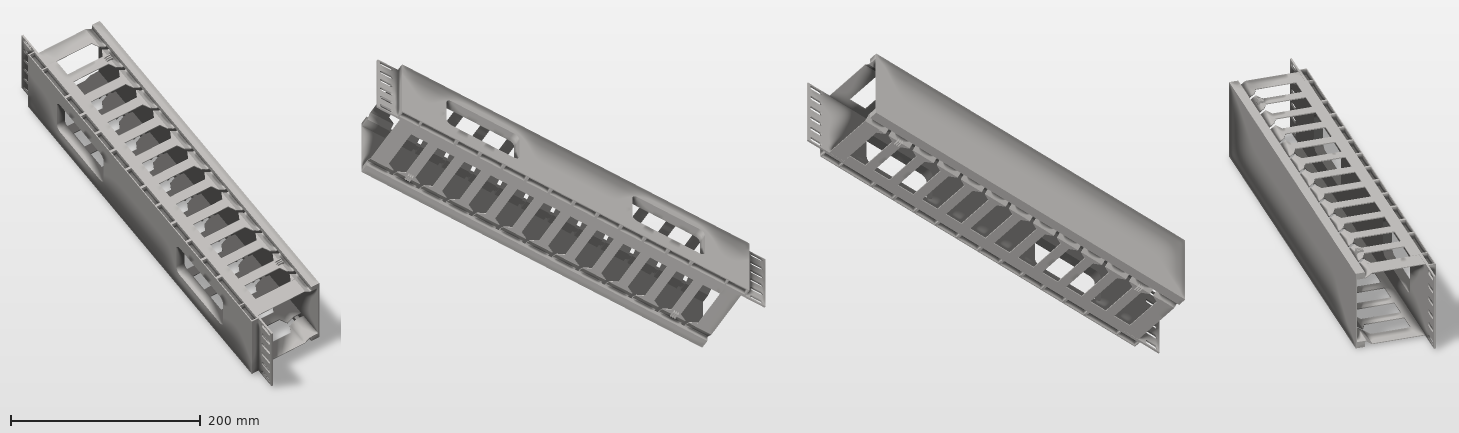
import cadquery as cq


rack_width = 482.6
depth = 87.6
height_over_grips = 93.06
panel_height = 88.0
duct_length = 424.0

hat_length = 432.0
hat_depth = 8.3
plate_thickness = 2.0
plate_rear = hat_depth + plate_thickness

window_length = 90.5
window_height = 45.0
window_radius = 7.0
window_offset = 115.5

mount_slot_length = 16.0
mount_slot_height = 5.2
mount_slot_offset = 230.2
mount_slot_pitch = 15.75
mount_slot_rows = 6

pocket_depth = 7.0
pocket_front = 1.0
pocket_rear = 7.3
hat_end_wall = 1.5
hat_rib_width = 2.9
hat_rib_pitch = 29.2
hat_rib_count = 11
outer_rib_width = 1.5
outer_rib_offset = 190.5

wall_thickness = 1.2
wall_top = panel_height / 2
bend_start = 69.2
bend_end = 75.7
bend_drop = 4.7
flat_top = wall_top - bend_drop
bend_slope = bend_drop / (bend_end - bend_start)

opening_count = 12
opening_pitch = 33.0
opening_width = 21.6
opening_front = 20.0
shoulder_start = 64.4
shoulder_end = 68.7
neck_width = 4.6

end_finger_step = 0.25
end_finger_inner = (opening_count - 1) / 2 * opening_pitch + opening_width / 2

grip_offset = (opening_count - 2) / 2 * opening_pitch
grip_top_front = 65.2
grip_top_rear = 71.2
grip_front_foot = grip_top_front - 1.7
grip_rear_foot = grip_top_rear + 1.0
grip_rib_count = 3
grip_rib_width = 1.2
grip_rib_pitch = 2.4

cover_thickness = 1.5
cover_top = 45.5
flange_thickness = 1.0
lip_front = 77.5
lip_rear = 81.8
cover_inner = depth - cover_thickness
flange_bottom = cover_top - flange_thickness


def box(x_range, y_range, z_range):
    """Box spanning the given ranges along X, Y and Z."""
    sizes = [end - start for start, end in (x_range, y_range, z_range)]
    corner = (x_range[0], y_range[0], z_range[0])
    return cq.Workplane("XY").box(*sizes, centered=False).translate(corner)


def centred_box(x_centre, x_size, y_range, z_range):
    """Box centred at x_centre along X."""
    return box((x_centre - x_size / 2, x_centre + x_size / 2), y_range, z_range)


def both_edges(shape):
    """The shape together with its mirror image below the XY plane."""
    return shape.union(shape.mirror("XY"))


def spread(count, pitch):
    """Evenly spaced positions centred on zero."""
    return [(i - (count - 1) / 2) * pitch for i in range(count)]


def make_panel():
    half_height = panel_height / 2
    z_range = (-half_height, half_height)
    plate = centred_box(0, rack_width, (hat_depth, plate_rear), z_range)
    hat = centred_box(0, hat_length, (0, hat_depth), z_range)
    return plate.union(hat).cut(both_edges(make_hat_pockets()))


def make_hat_pockets():
    """Row of pockets along the top edge: one long trough with the ribs left standing in it."""
    z_range = (panel_height / 2 - pocket_depth, panel_height / 2)
    y_range = (pocket_front, pocket_rear)
    pockets = centred_box(0, hat_length - 2 * hat_end_wall, y_range, z_range)
    for x in spread(hat_rib_count, hat_rib_pitch):
        pockets = pockets.cut(centred_box(x, hat_rib_width, y_range, z_range))
    for x in (-outer_rib_offset, outer_rib_offset):
        pockets = pockets.cut(centred_box(x, outer_rib_width, y_range, z_range))
    return pockets


def make_windows():
    return (
        cq.Workplane("XZ")
        .pushPoints([(-window_offset, 0), (window_offset, 0)])
        .rect(window_length, window_height)
        .extrude(-plate_rear)
        .edges("|Y")
        .fillet(window_radius)
    )


def make_mount_slots():
    centres = [
        (x, z)
        for x in (-mount_slot_offset, mount_slot_offset)
        for z in spread(mount_slot_rows, mount_slot_pitch)
    ]
    return (
        cq.Workplane("XZ")
        .pushPoints(centres)
        .slot2D(mount_slot_length, mount_slot_height)
        .extrude(-plate_rear)
    )


def make_finger_wall():
    """Upper wall: flat, bent down towards the rear, then hooked up behind the cover lip."""
    profile = [
        (hat_depth, wall_top),
        (bend_start, wall_top),
        (bend_end, flat_top),
        (lip_rear, flat_top),
        (lip_rear, flange_bottom),
        (cover_inner, flange_bottom),
        (cover_inner, flat_top - wall_thickness),
        (bend_end, flat_top - wall_thickness),
        (bend_start, wall_top - wall_thickness),
        (hat_depth, wall_top - wall_thickness),
    ]
    wall = cq.Workplane("YZ").polyline(profile).close().extrude(duct_length / 2, both=True)
    wall = wall.cut(make_openings())
    step_z = (wall_top - end_finger_step, wall_top)
    step_y = (plate_rear, bend_end)
    wall = wall.cut(box((end_finger_inner, duct_length / 2), step_y, step_z))
    return wall.cut(box((-duct_length / 2, -end_finger_inner), step_y, step_z))


def make_openings():
    """Wide openings that narrow through sloped shoulders to a neck open at the rear."""
    half_width = opening_width / 2
    half_neck = neck_width / 2
    outline = [
        (-half_width, opening_front),
        (half_width, opening_front),
        (half_width, shoulder_start),
        (half_neck, shoulder_end),
        (half_neck, depth),
        (-half_neck, depth),
        (-half_neck, shoulder_end),
        (-half_width, shoulder_start),
    ]
    opening = cq.Workplane("XY").polyline(outline).close().extrude(panel_height)
    openings = cq.Workplane("XY")
    for x in spread(opening_count, opening_pitch):
        openings = openings.add(opening.translate((x, 0, 0)))
    return openings.combine()


def make_grips():
    """Parallel ribs with sloped front and rear ends, rooted in the wall."""
    grip_top = height_over_grips / 2
    profile = [
        (grip_front_foot, wall_top),
        (grip_top_front, grip_top),
        (grip_top_rear, grip_top),
        (grip_rear_foot, wall_top - (grip_rear_foot - bend_start) * bend_slope),
        (bend_start, wall_top - wall_thickness),
        (grip_front_foot, wall_top - wall_thickness),
    ]
    rib = cq.Workplane("YZ").polyline(profile).close().extrude(grip_rib_width / 2, both=True)
    grips = cq.Workplane("XY")
    for grip_x in (-grip_offset, grip_offset):
        for rib_x in spread(grip_rib_count, grip_rib_pitch):
            grips = grips.add(rib.translate((grip_x + rib_x, 0, 0)))
    return grips.combine()


def make_duct():
    wall = make_finger_wall().union(make_grips())
    duct = make_panel().union(both_edges(wall))
    return duct.cut(make_windows()).cut(make_mount_slots())


def make_cover():
    plate = centred_box(0, duct_length, (cover_inner, depth), (-cover_top, cover_top))
    flange = centred_box(0, duct_length, (lip_front, depth), (flange_bottom, cover_top))
    lip = centred_box(0, duct_length, (lip_front, lip_rear), (flat_top, cover_top))
    return plate.union(both_edges(flange.union(lip)))


duct = make_duct()
cover = make_cover()

result = cq.Compound.makeCompound([duct.solids().val(), cover.solids().val()])